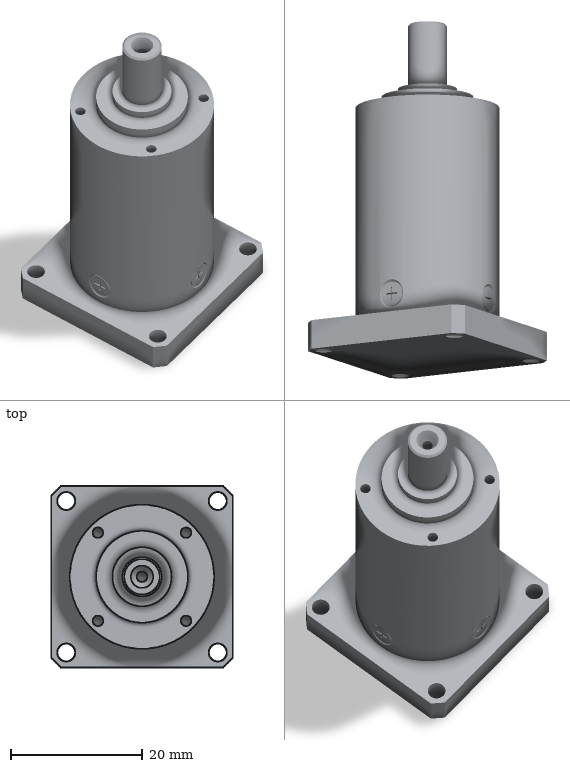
import cadquery as cq
import math

flange_width = 27.7
flange_thickness = 4.45
flange_corner_chamfer = 1.5
flange_hole_diameter = 2.7
flange_hole_spacing = 23.1
spigot_diameter = 17.5
spigot_length = 7.0
spigot_top = flange_thickness + spigot_length

housing_diameter = 22.0
housing_radius = housing_diameter / 2
housing_length = 34.0
housing_top = flange_thickness + housing_length
pilot_diameter = 14.0
pilot_height = 1.75
collar_diameter = 9.0
collar_height = 1.25
shaft_diameter = 6.0
shaft_length = 10.0
shaft_chamfer = 0.3
collar_top = housing_top + pilot_height + collar_height
shaft_top = collar_top + shaft_length

drill_point_angle = 118.0
mount_hole_diameter = 1.6
mount_hole_depth = 4.0
mount_circle_diameter = 19.0
mount_hole_count = 4
mount_hole_offset = mount_circle_diameter / 2 * math.cos(math.radians(45))
center_hole_diameter = 1.6
center_hole_depth = 5.0
center_countersink_diameter = 3.4
center_countersink_angle = 60.0

screw_count = 4
screw_height_above_flange = 3.4
screw_z = flange_thickness + screw_height_above_flange
screw_head_diameter = 3.8
screw_head_recess = 0.15
screw_head_rim = 0.15
screw_shank_diameter = 2.0
screw_length = 4.0
screw_face_radius = housing_radius - screw_head_recess
screw_cone_top = screw_face_radius - screw_head_rim
screw_tip_radius = screw_face_radius - screw_length
cross_length = 2.0
cross_width = 0.24
cross_depth = 0.5
cross_center_diameter = 0.5


def revolved_about_z(points):
    """Solid of revolution about Z from (radius, height) points."""
    return cq.Workplane("XZ").polyline(points).close().revolve(360, (0, 0, 0), (0, 1, 0))


def drilled_hole(diameter, depth, top_z):
    """Blind hole on the Z axis with a conical drill point below its full-diameter depth."""
    radius = diameter / 2
    bottom = top_z - depth
    point_depth = radius / math.tan(math.radians(drill_point_angle / 2))
    return revolved_about_z(
        [(0, top_z), (radius, top_z), (radius, bottom), (0, bottom - point_depth)]
    )


def around_axis(shape, count):
    """Copies of a shape turned in equal steps about Z."""
    return [shape.rotate((0, 0, 0), (0, 0, 1), i * 360 / count) for i in range(count)]


def place_screw(shape):
    """Move a shape modelled along +Z, with Z as distance from the gearbox axis, to point along -Y."""
    return shape.rotate((0, 0, 0), (1, 0, 0), 90).translate((0, 0, screw_z))


def screw_seat(outer_radius):
    """Shank and 90 degree head cone, the cone carried on out to a distance from the gearbox axis."""
    shank_radius = screw_shank_diameter / 2
    head_radius = screw_head_diameter / 2
    end_radius = head_radius + outer_radius - screw_cone_top
    cone_bottom = screw_cone_top - (head_radius - shank_radius)
    return place_screw(
        revolved_about_z(
            [
                (0, screw_tip_radius),
                (shank_radius, screw_tip_radius),
                (shank_radius, cone_bottom),
                (end_radius, outer_radius),
                (0, outer_radius),
            ]
        )
    )


def make_screw():
    """Countersunk screw with a short straight rim and a cross recess, on the -Y side."""
    recess_plane = cq.Workplane("XY").workplane(offset=screw_face_radius)
    recess = (
        recess_plane.rect(cross_length, cross_width).extrude(-cross_depth)
        .union(recess_plane.rect(cross_width, cross_length).extrude(-cross_depth))
        .union(recess_plane.circle(cross_center_diameter / 2).extrude(-cross_depth))
    )
    rim_plane = cq.Workplane("XY").workplane(offset=screw_cone_top)
    rim = rim_plane.circle(screw_head_diameter / 2).extrude(screw_head_rim)
    return screw_seat(screw_cone_top).union(place_screw(rim)).cut(place_screw(recess))


def cut_screw_holes(body):
    """Four radial countersunk holes that the screws sit in, open beyond the housing surface."""
    clearance_beyond_housing = 1.0
    hole = screw_seat(housing_radius + clearance_beyond_housing)
    for turned_hole in around_axis(hole, screw_count):
        body = body.cut(turned_hole)
    return body


def make_flange():
    """Square plate with chamfered corners, four through holes and the spigot."""
    plate = (
        cq.Workplane("XY")
        .rect(flange_width, flange_width)
        .extrude(flange_thickness)
        .edges("|Z")
        .chamfer(flange_corner_chamfer)
        .faces(">Z")
        .workplane()
        .rect(flange_hole_spacing, flange_hole_spacing, forConstruction=True)
        .vertices()
        .hole(flange_hole_diameter)
    )
    spigot = cq.Workplane("XY").circle(spigot_diameter / 2).extrude(spigot_top)
    return cut_screw_holes(plate.union(spigot))


def make_gearbox():
    """Housing, pilot, collar and output shaft, bored from below for the spigot."""
    body = (
        cq.Workplane("XY")
        .workplane(offset=flange_thickness)
        .circle(housing_radius)
        .extrude(housing_length)
        .faces(">Z")
        .workplane()
        .circle(pilot_diameter / 2)
        .extrude(pilot_height)
        .faces(">Z")
        .workplane()
        .circle(collar_diameter / 2)
        .extrude(collar_height)
        .faces(">Z")
        .workplane()
        .circle(shaft_diameter / 2)
        .extrude(shaft_length)
        .faces(">Z")
        .chamfer(shaft_chamfer)
    )
    body = body.cut(cq.Workplane("XY").circle(spigot_diameter / 2).extrude(spigot_top))

    mount_hole = drilled_hole(mount_hole_diameter, mount_hole_depth, housing_top)
    mount_hole = mount_hole.translate((mount_hole_offset, mount_hole_offset, 0))
    for turned_hole in around_axis(mount_hole, mount_hole_count):
        body = body.cut(turned_hole)

    body = body.cut(drilled_hole(center_hole_diameter, center_hole_depth, shaft_top))
    countersink_radius = center_countersink_diameter / 2
    countersink_height = countersink_radius / math.tan(math.radians(center_countersink_angle / 2))
    body = body.cut(
        revolved_about_z(
            [(0, shaft_top), (countersink_radius, shaft_top), (0, shaft_top - countersink_height)]
        )
    )
    return cut_screw_holes(body)


flange = make_flange()
gearbox = make_gearbox()
screws = around_axis(make_screw(), screw_count)

result = cq.Compound.makeCompound([flange.val(), gearbox.val(), *[screw.val() for screw in screws]])